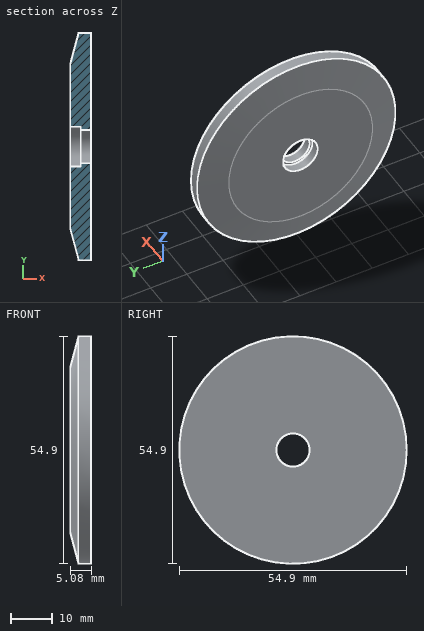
import cadquery as cq

outer_diameter = 54.86
thickness = 5.08
bevel_depth = 2.03
flat_face_diameter = 39.7

bore_diameter = 7.94
counterbore_diameter = 9.53
counterbore_depth = 2.54

front_x = -thickness / 2
back_x = front_x + thickness
rim_x = front_x + bevel_depth


def make_disc():
    """Bevelled disc, revolved about the X axis from its half section."""
    half_section = (
        cq.Workplane("XY")
        .moveTo(front_x, 0)
        .lineTo(front_x, flat_face_diameter / 2)
        .lineTo(rim_x, outer_diameter / 2)
        .lineTo(back_x, outer_diameter / 2)
        .lineTo(back_x, 0)
        .close()
    )
    return half_section.revolve(360, (0, 0, 0), (1, 0, 0))


def make_cutter(diameter, depth):
    """Cylinder running from the front face into the disc."""
    return cq.Workplane("YZ", origin=(front_x, 0, 0)).circle(diameter / 2).extrude(depth)


bore = make_cutter(bore_diameter, thickness)
counterbore = make_cutter(counterbore_diameter, counterbore_depth)
result = make_disc().cut(bore).cut(counterbore)